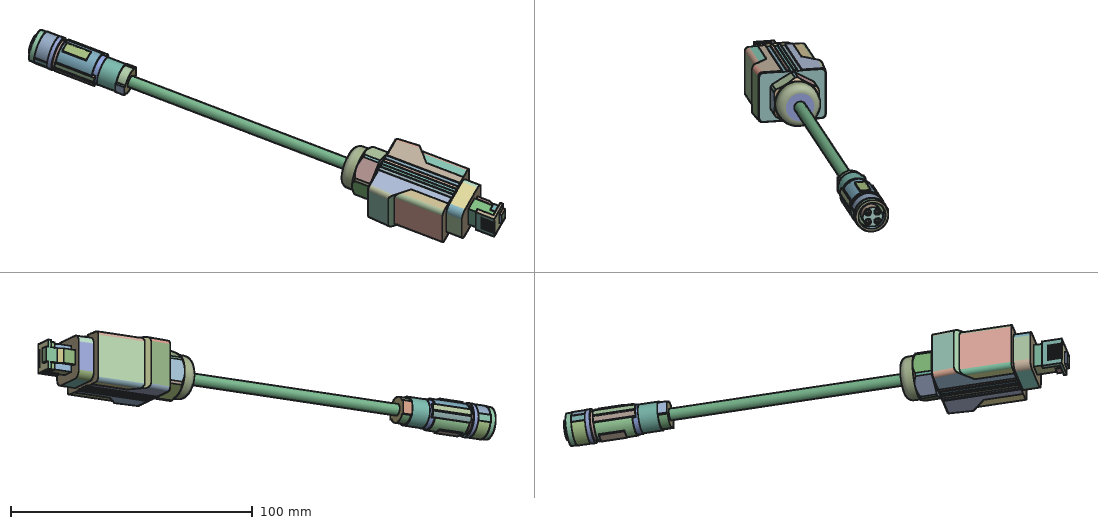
import cadquery as cq
import math


NUT_BORE_END = 4.5
NUT_START = 1.3
NUT_SHOULDER = 3.8
NUT_GRIP_END = 9.7
NUT_END = 11.7
SOCKET_START = 13.1
SOCKET_END = 29.6
WING_END = 31.1
SLEEVE_START = 32.1
SLEEVE_END = 40.3
SOCKET_TAIL = 44.4
GLAND_START = 144.0
GLAND_HEX_START = 150.0
GLAND_HEX_END = 158.2
HOUSING_START = 159.4
HOUSING_SHOULDER = 169.2
HOUSING_WAIST = 176.2
HOUSING_END = 193.1
COLLAR_END = 200.2
PLUG_SHELL_START = 203.8
PLUG_WINDOW_START = 206.3
PLUG_NOSE_START = 208.6
PLUG_NOSE_BACK = 211.0
PLUG_FACE = 212.3
TOTAL_LENGTH = 213.3

INSERT_RADIUS = 4.2
NUT_BORE_RADIUS = 5.7
NUT_FRONT_RADIUS = 6.9
NUT_GRIP_RADIUS = 7.1
NUT_RIM_RADIUS = 7.2
SOCKET_RADIUS = 6.7
NECK_RADIUS = 6.2
SLEEVE_RADIUS = 6.1
TAIL_RADIUS = 5.5
PIN_HOLE_RADIUS = 0.6
PIN_MOUTH_RADIUS = 1.3
PIN_MOUTH_DEPTH = 1.0
PIN_HOLE_OFFSET = 2.0
PIN_HOLE_DEPTH = 4.0
NUT_PAD_WIDTH = 3.2
NUT_PAD_REACH = 7.25
WING_WIDTH = 5.8
WING_REACH = 7.25
WING_SLIT = 0.4
WING_SLIT_DEPTH = 0.5
TAIL_PAD_REACH = 5.65
LABEL_START = 14.4
LABEL_END = 25.4
LABEL_WIDTH = 4.6
LABEL_REACH = 6.9

CABLE_RADIUS = 2.5
GLAND_RADIUS = 9.2
GLAND_ROUNDING = 3.2
HEX_SIDES = 6
QUARTER_TURN = 90
GLAND_FLATS = 19.0
GLAND_CORNER_RADIUS = 10.6
GLAND_CHAMFER = 1.2
GLAND_NECK_RADIUS = 7.6

HOUSING_WIDTH = 30.01
HOUSING_HEIGHT = 22.0
HOUSING_FRONT_WIDTH = 28.6
HOUSING_CHAMFER = 0.4
HOUSING_ROUNDING = 1.9
RAISED_BAND_WIDTH = 14.8
REAR_WIDTH = 26.0
REAR_HEIGHT = 21.8
REAR_ROUNDING = 1.9
GROOVE_DEPTH = 0.5
CENTRE_GROOVE_WIDTH = 1.6
SIDE_GROOVE_OFFSET = 3.15
SIDE_GROOVE_WIDTH = 1.9
COLLAR_SIDE = 18.5
COLLAR_ROUNDING = 3.2

PLUG_BOTTOM = -2.9
PLUG_TOP = 3.0
PLUG_WIDTH = 11.1
SHELL_BOTTOM = -3.6
SHELL_STEP = -1.8
SHELL_WIDTH = 12.5
NOSE_BOTTOM = 0.4
NOSE_TOP = 3.7
NOSE_WIDTH = 11.8
LATCH_WIDTH = 6.2
LATCH_TOP = 6.1
LATCH_THICKNESS = 1.3
LATCH_BEND_START = 205.6
LATCH_BEND_END = 208.0
LATCH_TIP_TOP = 5.1
LATCH_TIP_BOTTOM = 1.6
CONTACT_COUNT = 8
CONTACT_PITCH = 0.98
CONTACT_SLOT_WIDTH = 0.55
CONTACT_SLOT_DEPTH = 0.8


def block(x_range, y_range, z_range):
    """Box spanning the given ranges."""
    size = [high - low for low, high in (x_range, y_range, z_range)]
    corner = (x_range[0], y_range[0], z_range[0])
    return cq.Workplane("XY").box(*size, centered=False).translate(corner)


def centred_block(start, end, width, height):
    """Box from start to end along X, centred on the axis."""
    return block((start, end), (-width / 2, width / 2), (-height / 2, height / 2))


def rod(start, end, radius):
    """Cylinder along X."""
    return cq.Workplane("YZ", origin=(start, 0, 0)).circle(radius).extrude(end - start)


def flat_shape(points, width):
    """XY outline extruded symmetrically about Z = 0."""
    return cq.Workplane("XY").polyline(points).close().extrude(width / 2, both=True)


def union_all(parts):
    """Join a list of touching parts."""
    joined = parts[0]
    for piece in parts[1:]:
        joined = joined.union(piece)
    return joined


def make_nut():
    """Coupling nut with a bore around the insert and a flat grip pad on each side."""
    front = rod(NUT_START, NUT_SHOULDER, NUT_FRONT_RADIUS)
    grip = rod(NUT_SHOULDER, NUT_GRIP_END, NUT_GRIP_RADIUS)
    rim = rod(NUT_GRIP_END, NUT_END, NUT_RIM_RADIUS)
    pads = centred_block(NUT_SHOULDER, NUT_GRIP_END, 2 * NUT_PAD_REACH, NUT_PAD_WIDTH)
    bore = rod(NUT_START, NUT_BORE_END, NUT_BORE_RADIUS)
    return union_all([front, grip, rim, pads]).cut(bore)


def make_insert():
    """Contact insert with four stepped pin holes."""
    insert = rod(0, NUT_END, INSERT_RADIUS)
    for y in (-PIN_HOLE_OFFSET, PIN_HOLE_OFFSET):
        for z in (-PIN_HOLE_OFFSET, PIN_HOLE_OFFSET):
            mouth = rod(0, PIN_MOUTH_DEPTH, PIN_MOUTH_RADIUS)
            hole = rod(0, PIN_HOLE_DEPTH, PIN_HOLE_RADIUS)
            insert = insert.cut(mouth.union(hole).translate((0, y, z)))
    return insert


def make_socket_body():
    """Socket barrel with split side wings, label pads, sleeve and tail."""
    barrel = rod(SOCKET_START, SOCKET_END, SOCKET_RADIUS)
    neck = rod(NUT_END, SLEEVE_START, NECK_RADIUS)
    sleeve = rod(SLEEVE_START, SLEEVE_END, SLEEVE_RADIUS)
    tail = rod(SLEEVE_END, SOCKET_TAIL, TAIL_RADIUS)
    wings = centred_block(SOCKET_START, WING_END, 2 * WING_REACH, WING_WIDTH)
    wings = wings.intersect(rod(SOCKET_START, WING_END, WING_REACH))
    labels = centred_block(LABEL_START, LABEL_END, LABEL_WIDTH, 2 * LABEL_REACH)
    tail_pads = centred_block(SLEEVE_END, SOCKET_TAIL, 2 * TAIL_PAD_REACH, WING_WIDTH)
    body = union_all([barrel, neck, sleeve, tail, wings, labels, tail_pads])
    slit_floor = WING_REACH - WING_SLIT_DEPTH
    half_slit = WING_SLIT / 2
    for y_range in ((slit_floor, WING_REACH), (-WING_REACH, -slit_floor)):
        body = body.cut(block((SOCKET_START, WING_END), y_range, (-half_slit, half_slit)))
    return body


def make_gland():
    """Domed cable gland with a hexagon, corners turned down and chamfered."""
    dome = rod(GLAND_START, GLAND_HEX_START, GLAND_RADIUS).faces("<X").edges().fillet(GLAND_ROUNDING)
    hex_length = GLAND_HEX_END - GLAND_HEX_START
    hexagon = (
        cq.Workplane("YZ", origin=(GLAND_HEX_START, 0, 0))
        .polygon(HEX_SIDES, GLAND_FLATS / math.cos(math.pi / HEX_SIDES))
        .extrude(hex_length)
        .rotate((0, 0, 0), (1, 0, 0), QUARTER_TURN)
    )
    turned = rod(GLAND_HEX_START, GLAND_HEX_END, GLAND_CORNER_RADIUS)
    turned = turned.faces("<X").chamfer(GLAND_CHAMFER)
    neck = rod(GLAND_HEX_END, HOUSING_START, GLAND_NECK_RADIUS)
    return union_all([dome, hexagon.intersect(turned), neck])


def make_housing_front():
    """Front of the housing, widening to its shoulders, with a raised band running to the rear."""
    half_front = HOUSING_FRONT_WIDTH / 2
    half_width = HOUSING_WIDTH / 2
    half_band = RAISED_BAND_WIDTH / 2
    upper = [
        (HOUSING_START, half_front),
        (HOUSING_SHOULDER, half_width),
        (HOUSING_WAIST, half_band),
        (HOUSING_END, half_band),
    ]
    lower = [(x, -y) for x, y in reversed(upper)]
    front = flat_shape(upper + lower, HOUSING_HEIGHT)
    flank_zone = cq.selectors.BoxSelector(
        (HOUSING_START, -half_width, -HOUSING_HEIGHT),
        (HOUSING_SHOULDER, half_width, HOUSING_HEIGHT),
    )
    front = front.edges(flank_zone).edges("not(|Y or |Z)").fillet(HOUSING_ROUNDING)
    return front.faces("<X").chamfer(HOUSING_CHAMFER)


def make_housing():
    """Housing with rounded rear body, grooved top and bottom, and square rear collar."""
    rear = centred_block(HOUSING_SHOULDER, HOUSING_END, REAR_WIDTH, REAR_HEIGHT)
    rear = rear.edges("|X").fillet(REAR_ROUNDING)
    housing = make_housing_front().union(rear)
    floor = HOUSING_HEIGHT / 2 - GROOVE_DEPTH
    grooves = (
        (-SIDE_GROOVE_OFFSET, SIDE_GROOVE_WIDTH),
        (0, CENTRE_GROOVE_WIDTH),
        (SIDE_GROOVE_OFFSET, SIDE_GROOVE_WIDTH),
    )
    for centre, width in grooves:
        y_range = (centre - width / 2, centre + width / 2)
        for z_range in ((floor, HOUSING_HEIGHT / 2), (-HOUSING_HEIGHT / 2, -floor)):
            housing = housing.cut(block((HOUSING_START, HOUSING_END), y_range, z_range))
    collar = centred_block(HOUSING_END, COLLAR_END, COLLAR_SIDE, COLLAR_SIDE)
    return housing.union(collar.edges("|X").fillet(COLLAR_ROUNDING))


def make_latch():
    """Latch arm of the plug, stepping down to the nose, and its protruding tip."""
    drop = LATCH_TOP - LATCH_TIP_TOP
    arm = [
        (COLLAR_END, LATCH_TOP),
        (LATCH_BEND_START, LATCH_TOP),
        (LATCH_BEND_END, LATCH_TIP_TOP),
        (PLUG_FACE, LATCH_TIP_TOP),
        (PLUG_FACE, LATCH_TIP_TOP - LATCH_THICKNESS),
        (LATCH_BEND_END, LATCH_TOP - LATCH_THICKNESS - drop),
        (LATCH_BEND_START, LATCH_TOP - LATCH_THICKNESS),
        (COLLAR_END, LATCH_TOP - LATCH_THICKNESS),
    ]
    half_width = LATCH_WIDTH / 2
    tip = block(
        (PLUG_NOSE_BACK, TOTAL_LENGTH),
        (LATCH_TIP_BOTTOM, LATCH_TIP_TOP),
        (-half_width, half_width),
    )
    return flat_shape(arm, LATCH_WIDTH).union(tip)


def make_plug():
    """Modular plug: core, stepped shell, nose, latch and contact slots."""
    half_width = PLUG_WIDTH / 2
    core = block((COLLAR_END, PLUG_NOSE_BACK), (PLUG_BOTTOM, PLUG_TOP), (-half_width, half_width))
    shell = flat_shape(
        [
            (PLUG_SHELL_START, SHELL_BOTTOM),
            (PLUG_FACE, SHELL_BOTTOM),
            (PLUG_FACE, LATCH_TIP_TOP),
            (PLUG_NOSE_BACK, LATCH_TIP_TOP),
            (PLUG_NOSE_BACK, SHELL_STEP),
            (PLUG_SHELL_START, SHELL_STEP),
        ],
        SHELL_WIDTH,
    )
    half_nose = NOSE_WIDTH / 2
    nose = block((PLUG_NOSE_START, PLUG_NOSE_BACK), (NOSE_BOTTOM, NOSE_TOP), (-half_nose, half_nose))
    plug = union_all([core, shell, nose, make_latch()])
    for index in range(CONTACT_COUNT):
        z = (index - (CONTACT_COUNT - 1) / 2) * CONTACT_PITCH
        slot = block(
            (PLUG_WINDOW_START, PLUG_FACE),
            (SHELL_BOTTOM, SHELL_BOTTOM + CONTACT_SLOT_DEPTH),
            (z - CONTACT_SLOT_WIDTH / 2, z + CONTACT_SLOT_WIDTH / 2),
        )
        plug = plug.cut(slot)
    return plug


cable = rod(SOCKET_TAIL, GLAND_START, CABLE_RADIUS)
result = union_all(
    [make_nut(), make_insert(), make_socket_body(), cable, make_gland(), make_housing(), make_plug()]
)